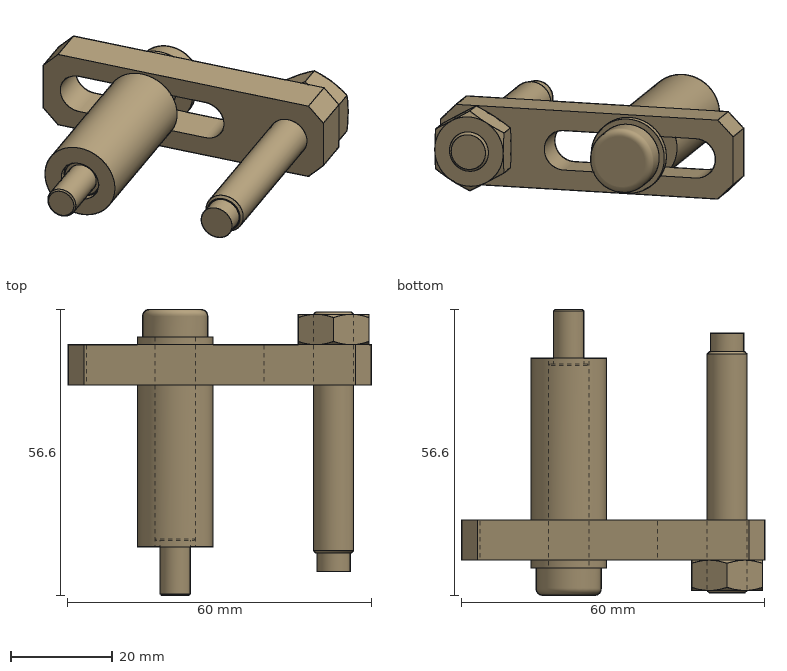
import cadquery as cq
import math


plate_length = 60.0
plate_height = 16.0
plate_thickness = 8.0
plate_corner_cut = 3.2
slot_start = 3.65
slot_length = 35.05

thread_diameter = 8.0
thread_radius = thread_diameter / 2

clamp_x = 21.2
sleeve_diameter = 15.0
sleeve_length = 32.0
washer_thickness = 1.55
head_diameter = 12.9
head_height = 5.4
head_round_radius = 1.3
thread_end_recess = 1.2
clamp_tip_diameter = 6.0
clamp_tip_length = 9.6
clamp_tip_chamfer = 0.3
thread_end_chamfer = 0.3

set_screw_x = 52.5
nut_width_across_flats = 14.05
nut_thickness = 6.0
hexagon_sides = 6
nut_chamfer_angle = 30.0
set_screw_back_chamfer = 0.5
set_screw_thread_reach = 32.75
set_screw_tip_reach = 36.9
set_screw_shoulder_chamfer = 0.5
set_screw_tip_diameter = 6.6

plate_back = plate_thickness
washer_back = plate_back + washer_thickness
head_back = washer_back + head_height
nut_back = plate_back + nut_thickness
nut_corner_radius = nut_width_across_flats / 2 / math.cos(math.radians(180 / hexagon_sides))


def cylinder(x, diameter, y_start, y_end):
    """Solid cylinder around the Y direction at the given X."""
    plane = cq.Plane(origin=(x, y_start, 0), xDir=(1, 0, 0), normal=(0, 1, 0))
    return cq.Workplane(plane).circle(diameter / 2).extrude(y_end - y_start)


def revolve_about_y(profile, x):
    """Turn a closed (radius, y) profile about the Y direction and move it to the given X."""
    return profile.close().revolve(360, (0, 0, 0), (0, 1, 0)).translate((x, 0, 0))


def make_plate():
    blank = (
        cq.Workplane("XZ")
        .center(plate_length / 2, 0)
        .rect(plate_length, plate_height)
        .extrude(-plate_thickness)
        .edges("|Y")
        .chamfer(plate_corner_cut)
    )
    slot = (
        cq.Workplane("XZ")
        .center(slot_start + slot_length / 2, 0)
        .slot2D(slot_length, thread_diameter)
        .extrude(-plate_thickness)
    )
    set_screw_hole = cylinder(set_screw_x, thread_diameter, 0, plate_back)
    return blank.cut(slot).cut(set_screw_hole)


def make_ring(y_start, y_end):
    """Ring of the sleeve's diameter, bored for the cap screw's thread."""
    bore = cylinder(clamp_x, thread_diameter, y_start, y_end)
    return cylinder(clamp_x, sleeve_diameter, y_start, y_end).cut(bore)


def make_cap_screw():
    head_radius = head_diameter / 2
    tip_radius = clamp_tip_diameter / 2
    thread_end = thread_end_recess - sleeve_length
    tip_end = -sleeve_length - clamp_tip_length
    round_start = (head_radius, head_back - head_round_radius)
    round_end = (head_radius - head_round_radius, head_back)
    profile = (
        cq.Workplane("XY")
        .moveTo(0, tip_end)
        .lineTo(tip_radius - clamp_tip_chamfer, tip_end)
        .lineTo(tip_radius, tip_end + clamp_tip_chamfer)
        .lineTo(tip_radius, thread_end)
        .lineTo(thread_radius - thread_end_chamfer, thread_end)
        .lineTo(thread_radius, thread_end + thread_end_chamfer)
        .lineTo(thread_radius, washer_back)
        .lineTo(head_radius, washer_back)
        .lineTo(*round_start)
        .tangentArcPoint(round_end, relative=False)
        .lineTo(0, head_back)
    )
    return revolve_about_y(profile, clamp_x)


def make_set_screw():
    tip_radius = set_screw_tip_diameter / 2
    shoulder = -set_screw_thread_reach - set_screw_shoulder_chamfer
    back_end = nut_back + set_screw_back_chamfer
    profile = (
        cq.Workplane("XY")
        .moveTo(0, -set_screw_tip_reach)
        .lineTo(tip_radius, -set_screw_tip_reach)
        .lineTo(tip_radius, shoulder)
        .lineTo(thread_radius - set_screw_shoulder_chamfer, shoulder)
        .lineTo(thread_radius, shoulder + set_screw_shoulder_chamfer)
        .lineTo(thread_radius, nut_back)
        .lineTo(thread_radius - set_screw_back_chamfer, back_end)
        .lineTo(0, back_end)
    )
    return revolve_about_y(profile, set_screw_x)


def make_nut():
    """Hexagon nut with two corners on the Z direction and cone-chamfered ends."""
    face_radius = nut_width_across_flats / 2
    chamfer_depth = (nut_corner_radius - face_radius) * math.tan(math.radians(nut_chamfer_angle))
    hexagon = (
        cq.Workplane("XZ")
        .transformed(offset=(set_screw_x, 0, -plate_back), rotate=(0, 0, 90))
        .polygon(hexagon_sides, 2 * nut_corner_radius)
        .extrude(-nut_thickness)
    )
    cone_profile = (
        cq.Workplane("XY")
        .moveTo(0, plate_back)
        .lineTo(face_radius, plate_back)
        .lineTo(nut_corner_radius, plate_back + chamfer_depth)
        .lineTo(nut_corner_radius, nut_back - chamfer_depth)
        .lineTo(face_radius, nut_back)
        .lineTo(0, nut_back)
    )
    bore = cylinder(set_screw_x, thread_diameter, plate_back, nut_back)
    return hexagon.intersect(revolve_about_y(cone_profile, set_screw_x)).cut(bore)


plate = make_plate()
sleeve = make_ring(-sleeve_length, 0)
washer = make_ring(plate_back, washer_back)
cap_screw = make_cap_screw()
set_screw = make_set_screw()
nut = make_nut()

result = cq.Compound.makeCompound(
    [plate.val(), sleeve.val(), washer.val(), cap_screw.val(), set_screw.val(), nut.val()]
)